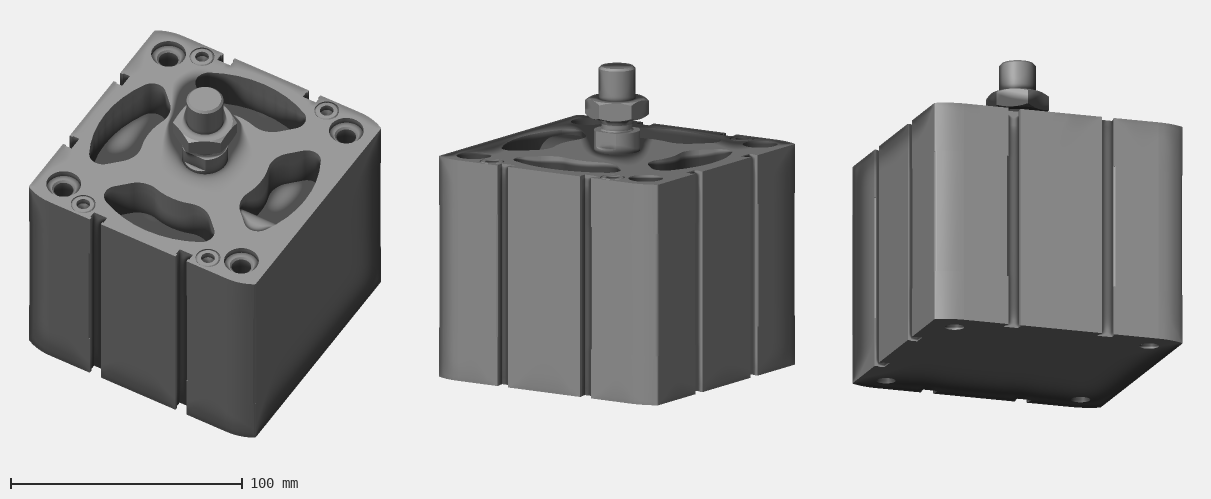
import cadquery as cq
import math

SIDE = 113.5
HALF = SIDE / 2
HOUSING_HEIGHT = 97.0
CAP_HEIGHT = 21.6
BARREL_HEIGHT = HOUSING_HEIGHT - 2 * CAP_HEIGHT
TOTAL_HEIGHT = 134.0

MOUNT_OFFSET = 44.5
CORNER_ARC_RADIUS = 24.1
CAP_BLEND = 1.0
BARREL_BLEND = 1.7

SLOT_OFFSET = 21.5
SLOT_MOUTH = 5.5
SLOT_WIDTH = 6.5
SLOT_DEPTH = 4.5
SLOT_LIP = 1.5
BARREL_LIP_CHAMFER = 0.5

MOUNT_BORE = 8.5
MOUNT_CHAMFER_DIAMETER = 10.0
MOUNT_COUNTERBORE = 15.0
MOUNT_COUNTERBORE_DEPTH = 3.0

SCREW_X = 31.2
SCREW_Y = 50.4
SCREW_RECESS = 10.7
SCREW_HEAD = 10.0
SCREW_RING_DEPTH = 0.7
SCREW_HEAD_CHAMFER = 0.4
SOCKET_DIAMETER = 5.9
SOCKET_DEPTH = 2.7
SOCKET_TIP_DEPTH = 1.3

POCKET_OUTER_RADIUS = 100.0 / 2
POCKET_INNER_RADIUS = 28.0
POCKET_DEPTH = 18.9
WEB_WIDTH = 13.5
POCKET_OUTER_FILLET = 6.0
POCKET_INNER_FILLET = 11.0

BOSS_Y = -20.2
BOSS_RADIUS = 8.3
BOSS_AXIS_DEPTH = CAP_HEIGHT / 2

ROD_DIAMETER = 20.0
ROD_SHOULDER_Z = 106.0
ROD_FLATS = 17.0
ROD_FLATS_Z = 99.2
ROD_FLATS_RUNOUT = 0.7
NECK_DIAMETER = 13.5
NECK_BASE_DIAMETER = 14.3
NECK_BASE_Z = 106.7
NECK_TOP_Z = 109.0
THREAD_DIAMETER = 16.0
THREAD_CHAMFER = 1.0

NUT_ACROSS_FLATS = 24.0
NUT_BOTTOM_Z = 111.9
NUT_HEIGHT = 8.0
NUT_FACE_DIAMETER = 24.0
NUT_CHAMFER_ANGLE = 30
HEX_TURN = 30


def block(height, bottom_z, blend):
    """Square prism with the arced corners, blended into the X sides."""
    arc_angle = math.asin((HALF - MOUNT_OFFSET) / CORNER_ARC_RADIUS)
    arc_centre_y = HALF - CORNER_ARC_RADIUS
    mid_x = MOUNT_OFFSET + CORNER_ARC_RADIUS * math.sin(arc_angle / 2)
    mid_y = arc_centre_y + CORNER_ARC_RADIUS * math.cos(arc_angle / 2)
    end_y = arc_centre_y + CORNER_ARC_RADIUS * math.cos(arc_angle)
    outline = (
        cq.Workplane("XY", origin=(0, 0, bottom_z))
        .moveTo(-MOUNT_OFFSET, HALF)
        .lineTo(MOUNT_OFFSET, HALF)
        .threePointArc((mid_x, mid_y), (HALF, end_y))
        .lineTo(HALF, -end_y)
        .threePointArc((mid_x, -mid_y), (MOUNT_OFFSET, -HALF))
        .lineTo(-MOUNT_OFFSET, -HALF)
        .threePointArc((-mid_x, -mid_y), (-HALF, -end_y))
        .lineTo(-HALF, end_y)
        .threePointArc((-mid_x, mid_y), (-MOUNT_OFFSET, HALF))
        .close()
    )
    prism = outline.extrude(height)
    for side in ("<X", ">X"):
        prism = prism.edges("|Z").edges(side).fillet(blend)
    return prism


def t_slot(offset, face_angle):
    """Full-height T-slot cutter in the side that faces `face_angle`."""
    outward = math.copysign(1, offset)
    floor = HALF - SLOT_DEPTH
    channel = (
        cq.Workplane("XY")
        .box(SLOT_DEPTH - SLOT_LIP, SLOT_WIDTH, HOUSING_HEIGHT, centered=(False, True, False))
        .translate((floor, offset, 0))
    )
    mouth = (
        cq.Workplane("XY")
        .box(SLOT_DEPTH, SLOT_MOUTH, HOUSING_HEIGHT, centered=(False, True, False))
        .translate((floor, offset, 0))
    )
    mouth_edge = offset + outward * SLOT_MOUTH / 2
    lip_chamfer = (
        cq.Workplane("XY", origin=(0, 0, CAP_HEIGHT))
        .polyline([
            (HALF, mouth_edge),
            (HALF, mouth_edge + outward * BARREL_LIP_CHAMFER),
            (HALF - BARREL_LIP_CHAMFER, mouth_edge),
        ])
        .close()
        .extrude(BARREL_HEIGHT)
    )
    return channel.union(mouth).union(lip_chamfer).rotate((0, 0, 0), (0, 0, 1), face_angle)


def pocket():
    """Kidney pocket cutter on the +X side of the end cap."""
    bottom_z = HOUSING_HEIGHT - POCKET_DEPTH
    apex = WEB_WIDTH / math.sqrt(2)
    ring = (
        cq.Workplane("XY", origin=(0, 0, bottom_z))
        .circle(POCKET_OUTER_RADIUS)
        .circle(POCKET_INNER_RADIUS)
        .extrude(POCKET_DEPTH)
    )
    wedge = (
        cq.Workplane("XY", origin=(0, 0, bottom_z))
        .polyline([(apex, 0), (apex + SIDE, SIDE), (apex + SIDE, -SIDE)])
        .close()
        .extrude(POCKET_DEPTH)
    )
    shape = ring.intersect(wedge)
    shape = shape.edges("|Z").edges(">X").fillet(POCKET_OUTER_FILLET)
    return shape.edges("|Z").edges("<X").fillet(POCKET_INNER_FILLET)


def port_boss():
    """Boss that fills the -Y end of the +X pocket, its top edge rounded about the port axis."""
    axis_z = HOUSING_HEIGHT - BOSS_AXIS_DEPTH
    floor_z = HOUSING_HEIGHT - POCKET_DEPTH
    top_z = axis_z + BOSS_RADIUS
    arc = BOSS_RADIUS / math.sqrt(2)
    return (
        cq.Workplane("YZ")
        .moveTo(-HALF, floor_z)
        .lineTo(BOSS_Y + BOSS_RADIUS, floor_z)
        .lineTo(BOSS_Y + BOSS_RADIUS, axis_z)
        .threePointArc((BOSS_Y + arc, axis_z + arc), (BOSS_Y, top_z))
        .lineTo(-HALF, top_z)
        .close()
        .extrude(HALF)
    )


def turned(profile):
    """Solid of revolution about Z from (radius, z) points."""
    return cq.Workplane("XZ").polyline(profile).close().revolve(360, (0, 0, 0), (0, 1, 0))


def mounting_hole(x, y):
    bore_r = MOUNT_BORE / 2
    chamfer_r = MOUNT_CHAMFER_DIAMETER / 2
    seat_z = HOUSING_HEIGHT - MOUNT_COUNTERBORE_DEPTH
    return turned([
        (0, 0),
        (bore_r, 0),
        (bore_r, seat_z - (chamfer_r - bore_r)),
        (chamfer_r, seat_z),
        (MOUNT_COUNTERBORE / 2, seat_z),
        (MOUNT_COUNTERBORE / 2, HOUSING_HEIGHT),
        (0, HOUSING_HEIGHT),
    ]).translate((x, y, 0))


def screw_recess(x, y):
    """Ring groove round a cap screw head, and the tapered socket in the head."""
    head_r = SCREW_HEAD / 2
    top = HOUSING_HEIGHT
    ring = turned([
        (head_r - SCREW_HEAD_CHAMFER, top),
        (head_r, top - SCREW_HEAD_CHAMFER),
        (head_r, top - SCREW_RING_DEPTH),
        (SCREW_RECESS / 2, top - SCREW_RING_DEPTH),
        (SCREW_RECESS / 2, top),
    ])
    socket = turned([
        (0, top - SOCKET_DEPTH - SOCKET_TIP_DEPTH),
        (SOCKET_DIAMETER / 2, top - SOCKET_DEPTH),
        (SOCKET_DIAMETER / 2, top),
        (0, top),
    ])
    return ring.union(socket).translate((x, y, 0))


def make_housing():
    body = block(CAP_HEIGHT, 0, CAP_BLEND)
    body = body.union(block(BARREL_HEIGHT, CAP_HEIGHT, BARREL_BLEND), clean=False)
    body = body.union(block(CAP_HEIGHT, HOUSING_HEIGHT - CAP_HEIGHT, CAP_BLEND), clean=False)
    for face_angle in (90, 180, 270):
        for offset in (-SLOT_OFFSET, SLOT_OFFSET):
            body = body.cut(t_slot(offset, face_angle), clean=False)
    for angle in (90, 180, 270):
        body = body.cut(pocket().rotate((0, 0, 0), (0, 0, 1), angle), clean=False)
    body = body.cut(pocket().cut(port_boss()), clean=False)
    for sx in (-1, 1):
        for sy in (-1, 1):
            body = body.cut(mounting_hole(sx * MOUNT_OFFSET, sy * MOUNT_OFFSET), clean=False)
            body = body.cut(screw_recess(sx * SCREW_X, sy * SCREW_Y), clean=False)
    return body


def make_rod():
    rod_r = ROD_DIAMETER / 2
    neck_r = NECK_DIAMETER / 2
    thread_r = THREAD_DIAMETER / 2
    rod = turned([
        (0, HOUSING_HEIGHT),
        (rod_r, HOUSING_HEIGHT),
        (rod_r, ROD_SHOULDER_Z),
        (NECK_BASE_DIAMETER / 2, ROD_SHOULDER_Z),
        (neck_r, NECK_BASE_Z),
        (neck_r, NECK_TOP_Z),
        (thread_r, NUT_BOTTOM_Z),
        (thread_r, TOTAL_HEIGHT - THREAD_CHAMFER),
        (thread_r - THREAD_CHAMFER, TOTAL_HEIGHT),
        (0, TOTAL_HEIGHT),
    ])
    flat_y = ROD_FLATS / 2
    for side in (-1, 1):
        flat = (
            cq.Workplane("YZ", origin=(-rod_r, 0, 0))
            .polyline([
                (side * flat_y, ROD_SHOULDER_Z),
                (side * flat_y, ROD_FLATS_Z),
                (side * rod_r, ROD_FLATS_Z - ROD_FLATS_RUNOUT),
                (side * rod_r, ROD_SHOULDER_Z),
            ])
            .close()
            .extrude(ROD_DIAMETER)
        )
        rod = rod.cut(flat)
    return rod


def make_nut():
    """Hexagon nut with chamfered corners; its flats face +X and -X."""
    corner_r = NUT_ACROSS_FLATS / math.sqrt(3)
    face_r = NUT_FACE_DIAMETER / 2
    chamfer = (corner_r - face_r) * math.tan(math.radians(NUT_CHAMFER_ANGLE))
    top = NUT_BOTTOM_Z + NUT_HEIGHT
    hexagon = (
        cq.Workplane("XY", origin=(0, 0, NUT_BOTTOM_Z))
        .polygon(6, 2 * corner_r)
        .extrude(NUT_HEIGHT)
        .rotate((0, 0, 0), (0, 0, 1), HEX_TURN)
    )
    cone_limits = turned([
        (0, NUT_BOTTOM_Z),
        (face_r, NUT_BOTTOM_Z),
        (corner_r, NUT_BOTTOM_Z + chamfer),
        (corner_r, top - chamfer),
        (face_r, top),
        (0, top),
    ])
    bore = (
        cq.Workplane("XY", origin=(0, 0, NUT_BOTTOM_Z))
        .circle(THREAD_DIAMETER / 2)
        .extrude(NUT_HEIGHT)
    )
    return hexagon.intersect(cone_limits).cut(bore)


housing = make_housing()
rod = make_rod()
nut = make_nut()
result = cq.Compound.makeCompound([housing.val(), rod.val(), nut.val()])